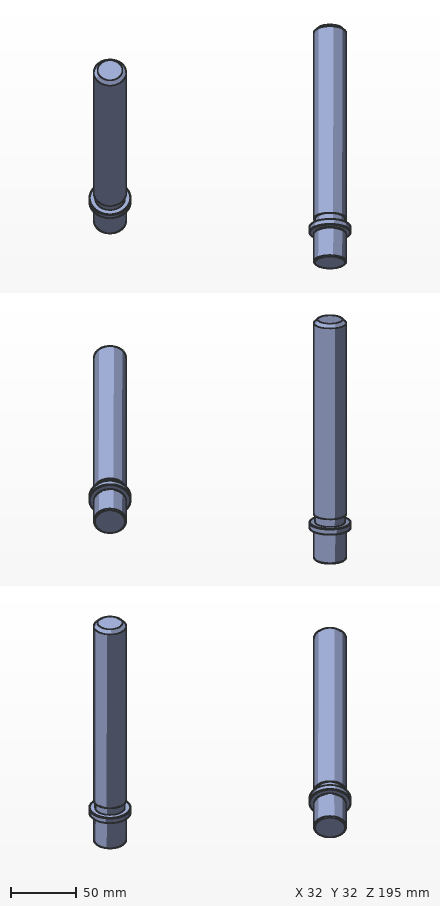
import cadquery as cq

total_length = 195.0
shaft_diameter = 25.0
neck_diameter = 23.0
collar_diameter = 32.0

shank_top = 24.0
collar_bottom = 25.0
collar_thickness = 5.0
collar_top = collar_bottom + collar_thickness
shaft_bottom = 36.5

tip_chamfer = 3.0
shank_chamfer = 1.0
collar_chamfer = 0.5


def cylinder(diameter, bottom, top):
    """Round section on the Z axis between two heights."""
    return cq.Workplane("XY").workplane(offset=bottom).circle(diameter / 2).extrude(top - bottom)


shank = cylinder(shaft_diameter, 0, shank_top).faces("<Z").chamfer(shank_chamfer)

neck = cylinder(neck_diameter, shank_top, shaft_bottom)

collar = cylinder(collar_diameter, collar_bottom, collar_top).edges().chamfer(collar_chamfer)

shaft = cylinder(shaft_diameter, shaft_bottom, total_length).faces(">Z").chamfer(tip_chamfer)

result = shank.union(neck).union(collar).union(shaft)